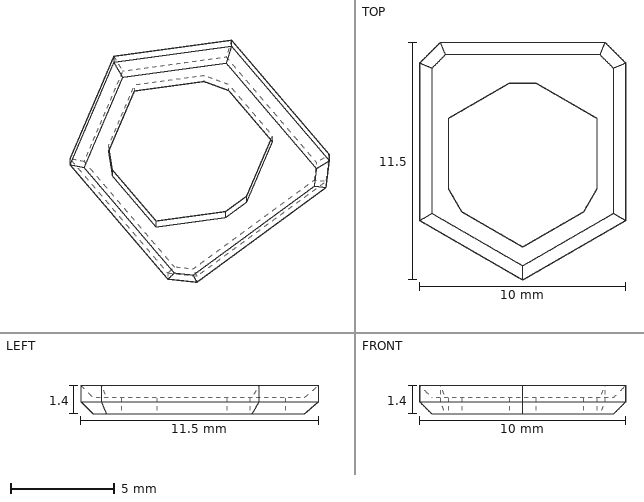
import cadquery as cq
import math

half_length = 5.77
half_width = 10.0 / 2
corner_chamfer = 1.0
thickness = 1.4
dish_depth = 0.6
wall_height = thickness - dish_depth
bevel_angle = 45.0
hole_apothem = 3.6
hole_clip_distance = 3.79


def outline(z):
    """House-shaped outline: a point toward -Y and two chamfered corners toward +Y."""
    shoulder_y = half_width * math.tan(math.radians(30)) - half_length
    return cq.Workplane("XY", origin=(0, 0, z)).polyline([
        (0, -half_length),
        (half_width, shoulder_y),
        (half_width, half_length - corner_chamfer),
        (half_width - corner_chamfer, half_length),
        (corner_chamfer - half_width, half_length),
        (-half_width, half_length - corner_chamfer),
        (-half_width, shoulder_y),
    ]).close()


def bevelled_block(top_z):
    """Solid of dish depth that narrows downward from the full outline."""
    return outline(top_z).extrude(-dish_depth, taper=bevel_angle)


def regular_prism(sides, apothem, turn):
    """Through prism whose first corner lies at the angle turn."""
    diameter = 2 * apothem / math.cos(math.pi / sides)
    return (
        cq.Workplane("XY")
        .polygon(sides, diameter)
        .extrude(thickness)
        .rotate((0, 0, 0), (0, 0, 1), turn)
    )


plate = outline(dish_depth).extrude(wall_height).union(bevelled_block(dish_depth))

dish = bevelled_block(thickness)

hole = regular_prism(6, hole_apothem, 90).intersect(regular_prism(3, hole_clip_distance, -90))

result = plate.cut(dish).cut(hole)